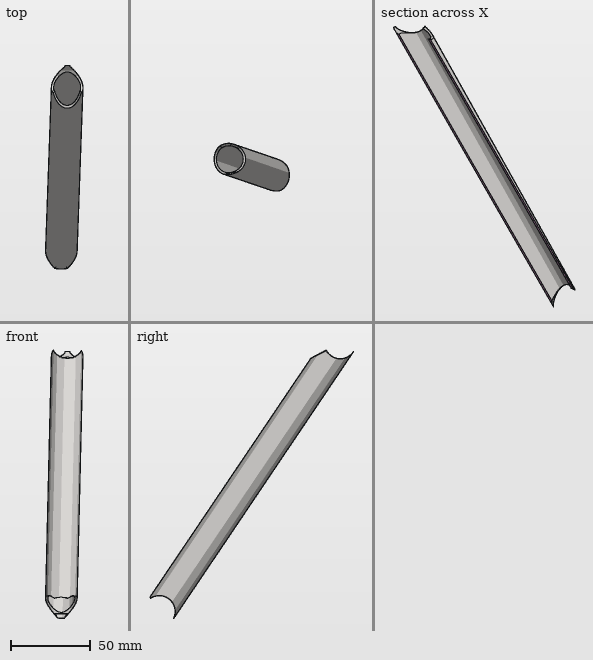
import cadquery as cq
import math

tube_radius = 10.0
wall = 1.5
upper_joint = cq.Vector(2.03, 55.63, 89.44)
lower_joint = cq.Vector(-2.03, -58.12, -79.37)

upper_overrun = 0.3
lower_overrun = 2.0

cross_radius = 9.88

branch_radius = 10.1
upper_branch_angle = 1.5
lower_front_branch_angle = -13.2
lower_down_branch_angle = -62.0
down_branch_setback = 3.4

cutter_length = 6 * tube_radius

axis = (upper_joint - lower_joint).normalized()


def stock_tube():
    """Plain round tube along the line of the joints, a little longer than their distance."""
    start = lower_joint - axis * lower_overrun
    length = (upper_joint - start).Length + upper_overrun
    plane = cq.Plane(origin=start, xDir=(-1, 0, 0), normal=axis)
    return cq.Workplane(plane).circle(tube_radius).circle(tube_radius - wall).extrude(length)


def cross_cutter(joint):
    """Cylinder along X, centred on the joint."""
    start = joint - cq.Vector(cutter_length / 2, 0, 0)
    return cq.Solid.makeCylinder(cross_radius, cutter_length, start, cq.Vector(1, 0, 0))


def branch_cutter(joint, angle, setback=0.0):
    """Cylinder square to X that leaves the joint towards -Y at the given angle."""
    tilt = math.radians(angle)
    direction = cq.Vector(0, -math.cos(tilt), math.sin(tilt))
    start = joint - direction * setback
    return cq.Solid.makeCylinder(branch_radius, cutter_length, start, direction)


def cope_upper_end(tube):
    tube = tube.cut(cross_cutter(upper_joint))
    return tube.cut(branch_cutter(upper_joint, upper_branch_angle))


def cope_lower_end(tube):
    tube = tube.cut(cross_cutter(lower_joint))
    tube = tube.cut(branch_cutter(lower_joint, lower_front_branch_angle))
    return tube.cut(branch_cutter(lower_joint, lower_down_branch_angle, down_branch_setback))


result = cope_lower_end(cope_upper_end(stock_tube()))